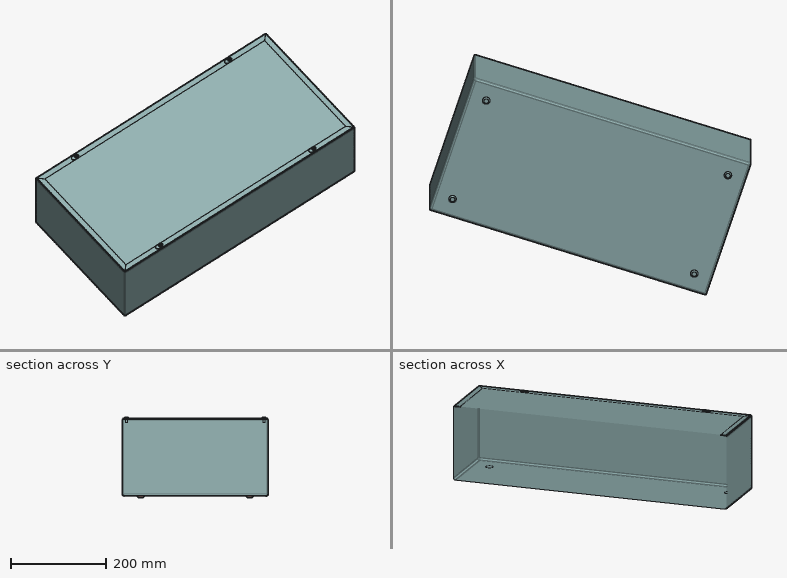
import cadquery as cq
import math

WIDTH = 308.0
LENGTH = 613.0
TOTAL_HEIGHT = 170.0
SHEET = 1.55
CORNER_RADIUS = 2.75
BOTTOM_BEND = 5.0
TOP_BEND = 2.5
FLANGE_WIDTH = 15.0
SEAM_GAP = 0.3

FOOT_HEIGHT = 3.0
FOOT_BASE_DIAMETER = 16.0
FOOT_TIP_DIAMETER = 10.0
FOOT_X = 114.5
FOOT_Y = 267.0

LID_INSET = 2.5

SCREW_X = 144.5
SCREW_Y = 203.5
HEAD_DIAMETER = 10.0
HEAD_TOP_DIAMETER = 5.8
HEAD_HEIGHT = 2.15
SOCKET_DIAMETER = 3.75
SOCKET_DEPTH = 1.0
SHANK_DIAMETER = 4.15
SHANK_LENGTH = 9.0

KEYHOLE_DIAMETER = 10.5
NECK_WIDTH = 5.8
KEYHOLE_OFFSET = 7.5

LID_BOTTOM = TOTAL_HEIGHT - FOOT_HEIGHT - HEAD_HEIGHT - SHEET
LID_TOP = LID_BOTTOM + SHEET

FOOT_POSITIONS = [(x, y) for x in (-FOOT_X, FOOT_X) for y in (-FOOT_Y, FOOT_Y)]
SCREW_POSITIONS = [(x, y) for x in (-SCREW_X, SCREW_X) for y in (-SCREW_Y, SCREW_Y)]


def plane_at(z):
    return cq.Workplane("XY", origin=(0, 0, z))


def block(inset, bottom, top):
    """Plain block, inset on all four sides from the housing outline."""
    return plane_at(bottom).rect(WIDTH - 2 * inset, LENGTH - 2 * inset).extrude(top - bottom)


def make_feet():
    taper = (FOOT_BASE_DIAMETER - FOOT_TIP_DIAMETER) / 2
    profile = [
        (0, 0),
        (FOOT_BASE_DIAMETER / 2, 0),
        (FOOT_BASE_DIAMETER / 2 - taper, -FOOT_HEIGHT),
        (0, -FOOT_HEIGHT),
    ]
    foot = cq.Workplane("XZ").polyline(profile).close().revolve(360, (0, 0), (0, 1))
    return [foot.translate((x, y, 0)) for x, y in FOOT_POSITIONS]


def make_flange_seams():
    """Mitre gaps through the flange, from each inner corner out to the top bend."""
    run = FLANGE_WIDTH - TOP_BEND
    centre_inset = (FLANGE_WIDTH + TOP_BEND) / 2
    seams = []
    for x_side in (-1, 1):
        for y_side in (-1, 1):
            seam = (
                plane_at(LID_BOTTOM - SHEET)
                .rect(run * math.sqrt(2), SEAM_GAP)
                .extrude(SHEET)
                .rotate((0, 0, 0), (0, 0, 1), 45 * x_side * y_side)
            )
            x = x_side * (WIDTH / 2 - centre_inset)
            y = y_side * (LENGTH / 2 - centre_inset)
            seams.append(seam.translate((x, y, 0)))
    return seams


def make_housing():
    shell = block(0, 0, LID_BOTTOM).edges("|Z").fillet(CORNER_RADIUS)
    shell = shell.faces("<Z").edges().fillet(BOTTOM_BEND)
    shell = shell.faces(">Z").edges().fillet(TOP_BEND)
    cavity = block(SHEET, SHEET, LID_BOTTOM - SHEET).edges("|Z").fillet(CORNER_RADIUS - SHEET)
    cavity = cavity.faces("<Z").edges().fillet(BOTTOM_BEND - SHEET)
    shell = shell.cut(cavity)
    opening = block(FLANGE_WIDTH, SHEET, LID_BOTTOM)
    shell = shell.cut(opening)
    screw_holes = plane_at(LID_BOTTOM).pushPoints(SCREW_POSITIONS).circle(SHANK_DIAMETER / 2).extrude(-SHEET)
    shell = shell.cut(screw_holes)
    for seam in make_flange_seams():
        shell = shell.cut(seam)
    for foot in make_feet():
        shell = shell.union(foot)
    return shell


def make_keyhole(x, y):
    wide_end = plane_at(LID_BOTTOM).center(x, y - KEYHOLE_OFFSET).circle(KEYHOLE_DIAMETER / 2).extrude(SHEET)
    neck = (
        plane_at(LID_BOTTOM)
        .center(x, y - KEYHOLE_OFFSET / 2)
        .slot2D(KEYHOLE_OFFSET + NECK_WIDTH, NECK_WIDTH, 90)
        .extrude(SHEET)
    )
    return wide_end.union(neck)


def make_lid():
    lid = block(LID_INSET, LID_BOTTOM, LID_TOP)
    for x, y in SCREW_POSITIONS:
        lid = lid.cut(make_keyhole(x, y))
    return lid


def make_screw(x, y):
    head = (
        cq.Workplane("XY")
        .circle(HEAD_DIAMETER / 2)
        .workplane(offset=HEAD_HEIGHT)
        .circle(HEAD_TOP_DIAMETER / 2)
        .loft()
    )
    socket = plane_at(HEAD_HEIGHT).circle(SOCKET_DIAMETER / 2).extrude(-SOCKET_DEPTH)
    shank = cq.Workplane("XY").circle(SHANK_DIAMETER / 2).extrude(-SHANK_LENGTH)
    return head.cut(socket).union(shank).translate((x, y, LID_TOP))


housing = make_housing()
lid = make_lid()
screws = [make_screw(x, y) for x, y in SCREW_POSITIONS]

result = cq.Compound.makeCompound([housing.val(), lid.val(), *[screw.val() for screw in screws]])